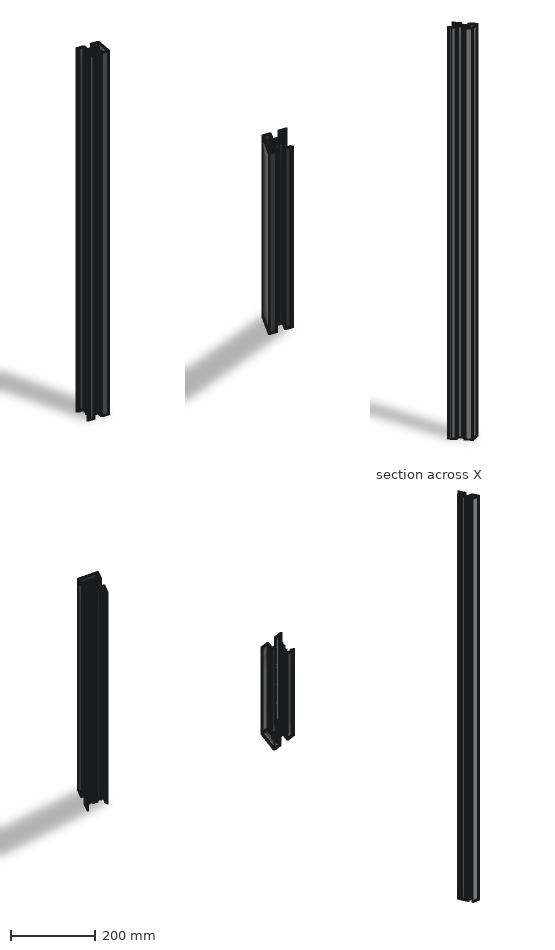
import cadquery as cq

LENGTH = 1000.0
WIDTH = 50.0
DEPTH = 60.0

WALL = 2.0
GAP_WIDTH = 20.0
CORNER_CHAMFER = 0.8

NECK_WIDTH = 16.0
NECK_WALL = 3.0
UPPER_WEB = (3.0, 5.5)
LOWER_WEB = (-6.5, -4.0)
NECK_GROOVE_WIDTH = 1.0
NECK_GROOVE_DEPTH = 1.0

RIDGE_OUTER_FOOT = 19.0
RIDGE_OUTER_RUN = 3.5
RIDGE_INNER_RUN = 2.0
RIDGE_HEIGHT = 2.0

RIB_HEIGHT = 4.0
BOX_RIB_WIDTH = 2.0
CHANNEL_RIB_BASE = 14.0
CHANNEL_RIB_TOP = 10.0
CHANNEL_RIB_GROOVE = 5.0

LIP_TO_TIP = 6.0
LIP_UNDERCUT = 2.0
LIP_LENGTH = 4.0
TIP_THICKNESS = 1.0
TIP_TAPER = 2.5

HALF_WIDTH = WIDTH / 2
HALF_DEPTH = DEPTH / 2
HALF_GAP = GAP_WIDTH / 2
HALF_NECK = NECK_WIDTH / 2
FLOOR = HALF_GAP + WALL
INNER_X = HALF_WIDTH - WALL


def symmetric_prism(right_half):
    """Full-length prism from an outline's X >= 0 half and its mirror image about X = 0."""
    left_half = [(-x, y) for x, y in reversed(right_half) if x > 0]
    return (
        cq.Workplane("XY")
        .workplane(offset=-LENGTH / 2)
        .polyline(right_half + left_half)
        .close()
        .extrude(LENGTH)
    )


def ridge_points(side):
    """Ridge from its outer foot to its inner foot; side is +1 in the box, -1 in the channel."""
    peak = RIDGE_OUTER_FOOT - RIDGE_OUTER_RUN
    return [
        (RIDGE_OUTER_FOOT, side * FLOOR),
        (peak, side * (FLOOR + RIDGE_HEIGHT)),
        (peak - RIDGE_INNER_RUN, side * FLOOR),
    ]


def neck_side_points():
    """Flank of the neck from the box to the channel, with its shallow middle groove."""
    groove_edge = NECK_GROOVE_WIDTH / 2
    groove_floor = HALF_NECK - NECK_GROOVE_DEPTH
    return [
        (HALF_NECK, HALF_GAP),
        (HALF_NECK, groove_edge),
        (groove_floor, groove_edge),
        (groove_floor, -groove_edge),
        (HALF_NECK, -groove_edge),
        (HALF_NECK, -HALF_GAP),
    ]


def leg_points():
    """Channel leg from its outer corner, around the tip and the lip, to the channel floor."""
    tip_x = HALF_WIDTH - TIP_THICKNESS
    lip_y = -HALF_DEPTH + LIP_TO_TIP
    return [
        (HALF_WIDTH - CORNER_CHAMFER, -HALF_GAP),
        (HALF_WIDTH, -HALF_GAP - CORNER_CHAMFER),
        (HALF_WIDTH, -HALF_DEPTH),
        (tip_x, -HALF_DEPTH + TIP_TAPER),
        (tip_x, lip_y + LIP_UNDERCUT),
        (tip_x - LIP_UNDERCUT, lip_y),
        (INNER_X, lip_y + LIP_LENGTH),
        (INNER_X, -FLOOR),
    ]


def channel_rib_points():
    """Tapered rib in the channel, with a 45 degree V groove along its crest."""
    crest = -FLOOR - RIB_HEIGHT
    half_groove = CHANNEL_RIB_GROOVE / 2
    return [
        (CHANNEL_RIB_BASE / 2, -FLOOR),
        (CHANNEL_RIB_TOP / 2, crest),
        (half_groove, crest),
        (0, crest + half_groove),
    ]


def outer_profile():
    box_points = [
        (0, HALF_DEPTH),
        (HALF_WIDTH, HALF_DEPTH),
        (HALF_WIDTH, HALF_GAP + CORNER_CHAMFER),
        (HALF_WIDTH - CORNER_CHAMFER, HALF_GAP),
    ]
    return symmetric_prism(
        box_points + neck_side_points() + leg_points() + ridge_points(-1) + channel_rib_points()
    )


def box_cavity():
    ceiling = HALF_DEPTH - WALL
    rib_x = BOX_RIB_WIDTH / 2
    rib_top = FLOOR + RIB_HEIGHT
    corner_points = [(0, ceiling), (INNER_X, ceiling), (INNER_X, FLOOR)]
    rib_points = [(rib_x, FLOOR), (rib_x, rib_top), (0, rib_top)]
    return symmetric_prism(corner_points + ridge_points(1) + rib_points)


def neck_chamber(y_low, y_high):
    half_chamber = HALF_NECK - NECK_WALL
    return symmetric_prism([(0, y_high), (half_chamber, y_high), (half_chamber, y_low), (0, y_low)])


result = outer_profile().cut(box_cavity())

chamber_spans = [
    (UPPER_WEB[1], HALF_GAP),
    (LOWER_WEB[1], UPPER_WEB[0]),
    (-HALF_GAP, LOWER_WEB[0]),
]
for y_low, y_high in chamber_spans:
    result = result.cut(neck_chamber(y_low, y_high))

result = result.solids()